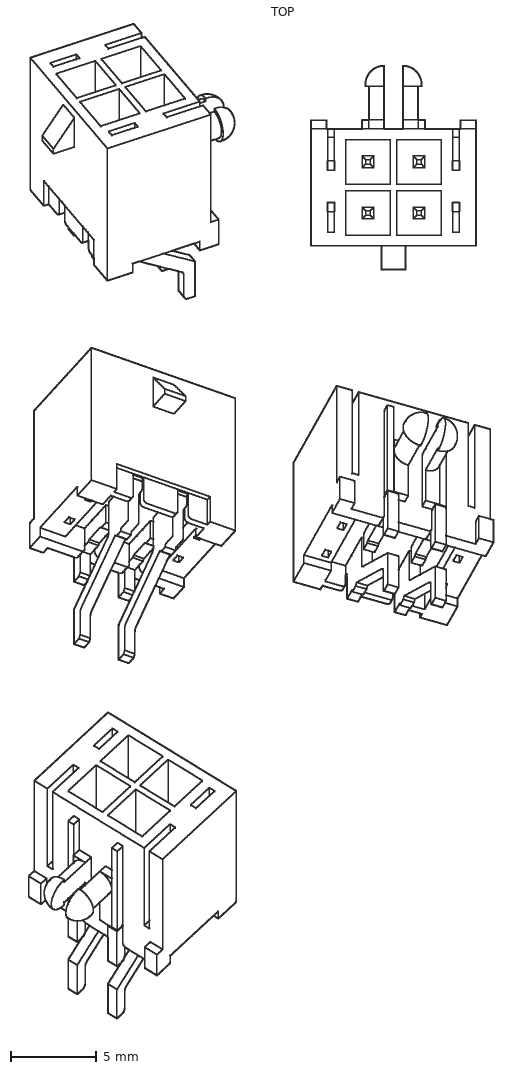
import cadquery as cq
import math


pitch = 3.0
columns = (-pitch / 2, pitch / 2)
pin = 0.69

width = 9.7
depth = 6.86
height = 9.9
front_row = depth / 2 - pitch / 2
rear_row = depth / 2 + pitch / 2
cavity = 2.6
cavity_floor = 3.0

board_face = 7.4
standoff_face = 7.38
foot_width = 0.93
foot_height = 1.86
rib_half_span = 1.86
rib_top = 8.92
peg_gap = 1.09
peg_radius = 0.9
peg_length = 1.96
peg_axis_z = 5.29
head_radius = 1.11
head_height = 1.21

latch_width = 1.41
latch_reach = 1.39
latch_top = 9.29
latch_bottom = 7.11
latch_lip = 0.37

recess_half_width = 3.14
recess_depth = 0.325
recess_height = 1.87
plate_back = 0.73
blade_top = 1.78
slot_lead_in = 0.25
channel_front = 1.68
channel_rear = 6.13
channel_height = 0.66

clip_x = 3.66
clip_width = 0.4
clip_floor = 1.87
clip_lip_floor = 3.0
clip_lip_y = 6.36
front_clip = (0.81, 2.54)
front_clip_through = 2.01
rear_clip_start = 4.45
rear_clip_through = 4.98

post_top = 7.5
tip_height = 0.7
tip_flat = 0.26
tail_inner = 6.66
tip_chamfer_y = 0.14
tip_chamfer_z = 0.2
overall_height = 15.9
front_tail_end = height - overall_height
rear_tail_end = -1.34


def box(x0, x1, y0, y1, z0, z1):
    """Block between two opposite corners."""
    return cq.Workplane("XY").box(x1 - x0, y1 - y0, z1 - z0, centered=False).translate((x0, y0, z0))


def centered_box(x, across, y0, y1, z0, z1):
    """Block centred on x along the X axis."""
    return box(x - across / 2, x + across / 2, y0, y1, z0, z1)


def side_profile(points, across):
    """(Y, Z) outline made into a plate centred on X = 0."""
    return cq.Workplane("YZ").polyline(points).close().extrude(across / 2, both=True)


def latch():
    return side_profile(
        [
            (0, latch_bottom),
            (-latch_reach, latch_bottom),
            (-latch_reach, latch_bottom + latch_lip),
            (0, latch_top),
        ],
        latch_width,
    )


def half_peg(side):
    """Half-round peg with a domed head; its flat side faces the gap in the middle."""
    peg_end = board_face + peg_length
    dome_radius = (head_height**2 + head_radius**2) / (2 * head_height)
    dome_center = peg_end + head_height - dome_radius
    reach = dome_radius * math.sqrt(0.5)
    profile = (
        cq.Workplane("XY")
        .moveTo(0, depth)
        .lineTo(0, peg_end + head_height)
        .threePointArc((reach, dome_center + reach), (head_radius, peg_end))
        .lineTo(peg_radius, peg_end)
        .lineTo(peg_radius, depth)
        .close()
    )
    round_peg = profile.revolve(360, (0, 0, 0), (0, 1, 0))
    outer_half = box(0, 2 * head_radius, depth, peg_end + head_height, -2 * head_radius, 2 * head_radius)
    half = round_peg.intersect(outer_half).translate((peg_gap / 2, 0, peg_axis_z))
    return half if side > 0 else half.mirror("YZ")


def standoffs(side):
    """Corner foot, tall rib and peg pad on one side of the rear face."""
    pad_inner = peg_gap / 2
    pad_outer = pad_inner + peg_radius
    foot = box(width / 2 - foot_width, width / 2, depth, standoff_face, 0, foot_height)
    rib = box(pad_outer, rib_half_span, depth, standoff_face, foot_height, rib_top)
    pad = box(pad_inner, pad_outer, depth, board_face, foot_height, peg_axis_z + peg_radius)
    group = foot.union(rib).union(pad)
    return group if side > 0 else group.mirror("YZ")


def underside_cut():
    """Front recess, blade chamber behind the slotted plate, and the cross channel."""
    recess = centered_box(0, 2 * recess_half_width, 0, recess_depth, 0, recess_height)
    chamber = centered_box(0, 2 * recess_half_width, plate_back, channel_rear, 0, blade_top)
    channel = centered_box(0, width, channel_front, channel_rear, 0, channel_height)
    return recess.union(chamber).union(channel)


def blade_slot(x, y0, y1):
    """Blade slot through the wall from y0 to y1, flared at the bottom by two rounded edges."""
    diagonal = slot_lead_in * (1 - math.sqrt(0.5))
    half = pin / 2
    outline = (
        cq.Workplane("XZ")
        .moveTo(-half - slot_lead_in, 0)
        .threePointArc((-half - diagonal, diagonal), (-half, slot_lead_in))
        .lineTo(-half, blade_top)
        .lineTo(half, blade_top)
        .lineTo(half, slot_lead_in)
        .threePointArc((half + diagonal, diagonal), (half + slot_lead_in, 0))
        .close()
    )
    return outline.extrude(y0 - y1).translate((x, y0, 0))


def clip_slots(x):
    front_start, front_end = front_clip
    front = centered_box(x, clip_width, front_start, front_end, clip_floor, height)
    front_open = centered_box(x, clip_width, front_clip_through, front_end, 0, height)
    rear = centered_box(x, clip_width, rear_clip_start, clip_lip_y, clip_floor, height)
    rear_open = centered_box(x, clip_width, rear_clip_start, rear_clip_through, 0, height)
    lip = centered_box(x, clip_width, clip_lip_y, depth, clip_lip_floor, height)
    return front.union(front_open).union(rear).union(rear_open).union(lip)


def make_housing():
    body = centered_box(0, width, 0, depth, 0, height).union(latch())
    for side in (-1, 1):
        body = body.union(standoffs(side)).union(half_peg(side))
    body = body.cut(underside_cut())
    for x in columns:
        for y in (front_row, rear_row):
            body = body.cut(
                centered_box(x, cavity, y - cavity / 2, y + cavity / 2, cavity_floor, height)
            )
            body = body.cut(centered_box(x, pin, y - pin / 2, y + pin / 2, blade_top, cavity_floor))
        body = body.cut(blade_slot(x, recess_depth, plate_back))
        body = body.cut(blade_slot(x, channel_rear, depth))
    for x in (-clip_x, clip_x):
        body = body.cut(clip_slots(x))
    return body


def mating_post(row):
    """Square post with a tapered tip."""
    shoulder = post_top - tip_height
    post = centered_box(0, pin, row - pin / 2, row + pin / 2, blade_top, shoulder)
    tip = (
        cq.Workplane("XY", origin=(0, row, shoulder))
        .rect(pin, pin)
        .workplane(offset=tip_height)
        .rect(tip_flat, tip_flat)
        .loft(ruled=True)
    )
    return post.union(tip)


def tail_tip(end):
    """Outline points of a tail end, from the board side to the chamfered inner side."""
    return [
        (board_face, end),
        (tail_inner + tip_chamfer_y, end),
        (tail_inner, end + tip_chamfer_z),
    ]


def round_corner(blade, y, z, radius):
    """Round the edge along X that passes through (y, z)."""
    return blade.edges("|X").edges(cq.selectors.NearestToPointSelector((0, y, z))).fillet(radius)


def front_contact():
    """Contact of the front row: its tail slopes back under the housing to the board plane."""
    arm_angle = 33
    slope = math.tan(math.radians(arm_angle))
    blade_front = 0.92
    blade_back = 3.26
    blade_bottom = -1.2
    corner_round = 0.09
    barb_front = 0.5
    barb_bottom = 0.87
    barb_round = 0.14
    barb_chamfer = 0.1
    bump_front = 1.82
    bump_back = 2.33
    bump_bottom = -1.4
    notch_y = 2.47
    outer_bend_z = -3.39
    inner_bend_z = -3.96
    bend_radius = 0.4
    barb_ledge = barb_bottom + barb_round
    upper_bend_z = outer_bend_z + (board_face - blade_back) * slope
    notch_z = inner_bend_z + (tail_inner - notch_y) * slope
    outline = [
        (barb_front + barb_chamfer, blade_top),
        (blade_back, blade_top),
        (blade_back, upper_bend_z),
        (board_face, outer_bend_z),
        *tail_tip(front_tail_end),
        (tail_inner, inner_bend_z),
        (notch_y, notch_z),
        (bump_back, bump_bottom),
        (bump_front, bump_bottom),
        (bump_front, blade_bottom),
        (blade_front, blade_bottom),
        (blade_front, barb_ledge),
        (barb_front, barb_ledge),
        (barb_front, blade_top - barb_chamfer),
    ]
    blade = side_profile(outline, pin)
    rounded_corners = [
        (blade_back, upper_bend_z, bend_radius),
        (tail_inner, inner_bend_z, bend_radius),
        (bump_front, blade_bottom, corner_round),
        (blade_front, blade_bottom, corner_round),
        (blade_front, barb_ledge, barb_round),
        (barb_front, barb_ledge, barb_round),
    ]
    for y, z, radius in rounded_corners:
        blade = round_corner(blade, y, z, radius)
    return blade.union(mating_post(front_row))


def rear_contact():
    """Contact of the rear row: a short tail straight behind the rear wall."""
    blade_front = 3.59
    blade_bottom = 0.47
    relief_front = 4.15
    relief_back = 5.7
    relief_height = 0.11
    outline = [
        (blade_front, blade_top),
        (board_face, blade_top),
        *tail_tip(rear_tail_end),
        (tail_inner, blade_bottom),
        (relief_back, blade_bottom),
        (relief_back - relief_height, blade_bottom + relief_height),
        (relief_front + relief_height, blade_bottom + relief_height),
        (relief_front, blade_bottom),
        (blade_front, blade_bottom),
    ]
    return side_profile(outline, pin).union(mating_post(rear_row))


housing = make_housing()
contacts = []
for x in columns:
    for contact in (front_contact(), rear_contact()):
        contacts.append(contact.translate((x, 0, 0)))

result = cq.Compound.makeCompound([housing.val(), *[contact.val() for contact in contacts]])